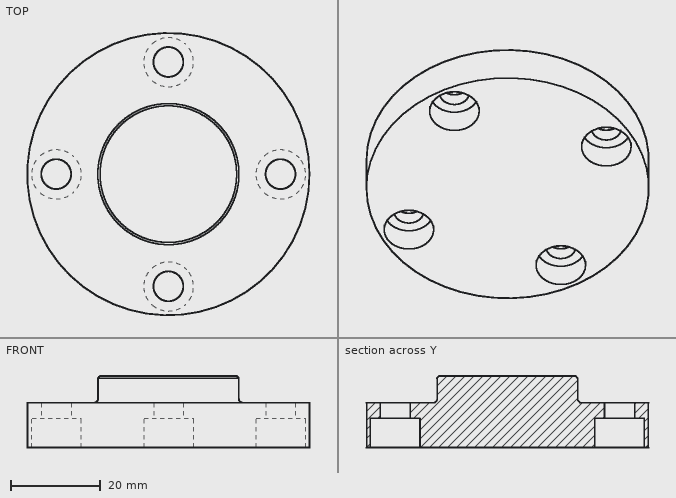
import cadquery as cq

flange_diameter = 63.0
total_height = 16.0
flange_thickness = 10.0
boss_diameter = 31.5

boss_chamfer = 0.5
root_fillet = 0.8

hole_count = 4
hole_diameter = 6.6
bolt_circle_diameter = 50.0
counterbore_diameter = 11.0
counterbore_depth = 6.5


def boss_profile():
    """Half section of the flange and boss, with radius along X and height along Y."""
    flange_radius = flange_diameter / 2
    boss_radius = boss_diameter / 2
    return (
        cq.Workplane("XZ")
        .lineTo(flange_radius, 0)
        .lineTo(flange_radius, flange_thickness)
        .lineTo(boss_radius + root_fillet, flange_thickness)
        .radiusArc((boss_radius, flange_thickness + root_fillet), root_fillet)
        .lineTo(boss_radius, total_height - boss_chamfer)
        .lineTo(boss_radius - boss_chamfer, total_height)
        .lineTo(0, total_height)
        .close()
    )


def bolt_circle_cylinders(diameter, height):
    """Cylinders spaced around the bolt circle, rising from the underside of the flange."""
    return (
        cq.Workplane("XY")
        .polarArray(bolt_circle_diameter / 2, 0, 360, hole_count)
        .circle(diameter / 2)
        .extrude(height)
    )


body = boss_profile().revolve(360, (0, 0, 0), (0, 1, 0))
through_holes = bolt_circle_cylinders(hole_diameter, flange_thickness)
counterbores = bolt_circle_cylinders(counterbore_diameter, counterbore_depth)

result = body.cut(through_holes).cut(counterbores)